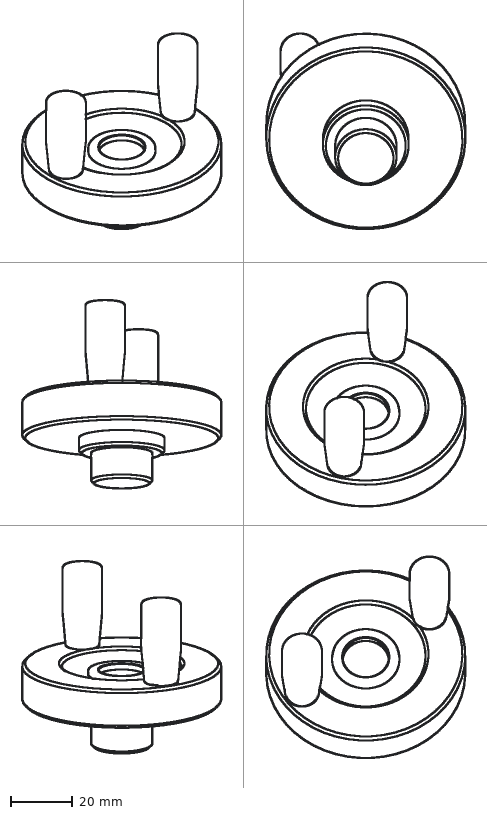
import cadquery as cq

wheel_radius = 32.5
hub_radius = 10.0
collar_diameter = 28.0
collar_radius = collar_diameter / 2
hub_height = 10.0
collar_height = 5.0
wheel_thickness = 13.0
edge_chamfer = 1.0

collar_bottom = hub_height
wheel_bottom = collar_bottom + collar_height
wheel_top = wheel_bottom + wheel_thickness

recess_radius = 19.5
recess_wall_depth = 1.9
recess_depth = 3.65
floor_radius = 14.75
wall_fillet = 0.5
floor_fillet = 5.2

ring_radius = 11.0
ring_fillet = 0.5
ring_top_depth = 2.1
bore_diameter = 15.0
bore_radius = bore_diameter / 2
bore_chamfer = 0.2
bore_floor_depth = 4.15

handle_radius = 6.5
handle_offset = 25.5
handle_length = 27.0
taper_length = 11.0
handle_foot_radius = 5.5
handle_top_fillet = 1.0
handle_foot_fillet = 0.3


def cylinder(radius, bottom, height):
    """Upright cylinder on the Z axis."""
    return cq.Workplane("XY").workplane(offset=bottom).circle(radius).extrude(height)


def make_wheel():
    """Chamfered rim disc with the collar and hub below it."""
    hub = cylinder(hub_radius, 0, hub_height).faces("<Z").chamfer(edge_chamfer)
    collar = cylinder(collar_radius, collar_bottom, collar_height).faces("<Z").chamfer(edge_chamfer)
    rim = cylinder(wheel_radius, wheel_bottom, wheel_thickness).edges().chamfer(edge_chamfer)
    return rim.union(collar).union(hub)


def make_recess():
    """Cutter for the dish: chamfered mouth, short wall and cone, with rounded blends down to a flat floor."""
    floor = wheel_top - recess_depth
    wall_bottom = wheel_top - recess_wall_depth
    return (
        cq.Workplane("XZ")
        .moveTo(0, wheel_top)
        .lineTo(recess_radius + edge_chamfer, wheel_top)
        .lineTo(recess_radius, wheel_top - edge_chamfer)
        .lineTo(recess_radius, wall_bottom)
        .lineTo(floor_radius, floor)
        .lineTo(0, floor)
        .close()
        .revolve()
        .faces("<Z")
        .edges()
        .fillet(floor_fillet)
        .edges(cq.selectors.NearestToPointSelector((0, 0, wall_bottom)))
        .fillet(wall_fillet)
    )


def make_ring():
    """Raised ring on the recess floor, rounded on its outer top edge."""
    bottom = wheel_top - recess_depth
    return cylinder(ring_radius, bottom, recess_depth - ring_top_depth).faces(">Z").fillet(ring_fillet)


def make_bore():
    """Cutter for the blind bore with its chamfered mouth."""
    top = wheel_top - ring_top_depth
    bottom = wheel_top - bore_floor_depth
    profile = [
        (0, top),
        (bore_radius + bore_chamfer, top),
        (bore_radius, top - bore_chamfer),
        (bore_radius, bottom),
        (0, bottom),
    ]
    return cq.Workplane("XZ").polyline(profile).close().revolve()


def make_handle(y):
    """Round grip on the wheel top: tapered foot, straight barrel and rounded end."""
    barrel_bottom = wheel_top + taper_length
    return (
        cq.Workplane("YZ")
        .moveTo(0, wheel_top)
        .lineTo(handle_foot_radius, wheel_top)
        .lineTo(handle_radius, barrel_bottom)
        .lineTo(handle_radius, wheel_top + handle_length)
        .lineTo(0, wheel_top + handle_length)
        .close()
        .revolve()
        .faces(">Z")
        .edges()
        .fillet(handle_top_fillet)
        .faces("<Z")
        .edges()
        .fillet(handle_foot_fillet)
        .translate((0, y, 0))
    )


result = make_wheel().cut(make_recess()).union(make_ring()).cut(make_bore())
for handle_y in (-handle_offset, handle_offset):
    result = result.union(make_handle(handle_y))